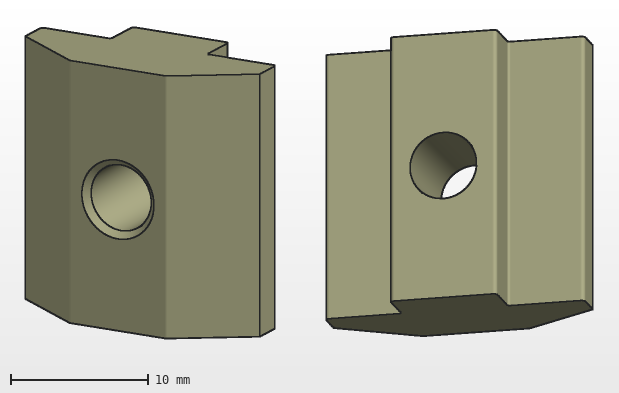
import cadquery as cq

width = 19.5
depth = 9.5
length = 20.0

tongue_width = 8.0
tongue_height = 3.3
side_height = 2.5
front_width = 8.0
edge_radius = 0.3
root_radius = 0.2
front_edge_radius = 0.3

hole_diameter = 5.0
countersink_diameter = 6.0
countersink_depth = (countersink_diameter - hole_diameter) / 2

front_y = -depth / 2
back_y = depth / 2
shoulder_y = back_y - tongue_height
bevel_y = shoulder_y - side_height


def make_body():
    """T-shaped profile with bevelled front, extruded along Z."""
    right_half = [
        (front_width / 2, front_y),
        (width / 2, bevel_y),
        (width / 2, shoulder_y),
        (tongue_width / 2, shoulder_y),
        (tongue_width / 2, back_y),
    ]
    left_half = [(-x, y) for x, y in reversed(right_half)]
    return (
        cq.Workplane("XY")
        .polyline(right_half + left_half)
        .close()
        .extrude(length / 2, both=True)
    )


def round_edges(body, x, y, radius):
    """Round the mirrored pair of lengthwise edges at (+x, y) and (-x, y)."""
    for edge_x in (x, -x):
        picker = cq.selectors.NearestToPointSelector((edge_x, y, 0))
        body = body.edges("|Z").edges(picker).fillet(radius)
    return body


def make_hole_cutter():
    """Through hole along Y with a countersink at the front face."""
    profile = [
        (0, front_y),
        (countersink_diameter / 2, front_y),
        (hole_diameter / 2, front_y + countersink_depth),
        (hole_diameter / 2, back_y),
        (0, back_y),
    ]
    return cq.Workplane("XY").polyline(profile).close().revolve(360, (0, 0, 0), (0, 1, 0))


body = make_body()
body = round_edges(body, tongue_width / 2, back_y, edge_radius)
body = round_edges(body, width / 2, shoulder_y, edge_radius)
body = round_edges(body, tongue_width / 2, shoulder_y, root_radius)
body = round_edges(body, front_width / 2, front_y, front_edge_radius)

result = body.cut(make_hole_cutter())